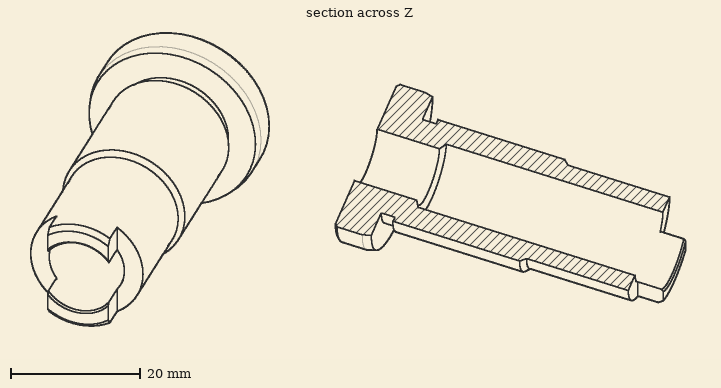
import math

import cadquery as cq

total_length = 51.0

flange_radius = 14.0
flange_length = 6.0
flange_back_chamfer = 0.5
flange_taper_length = 1.4
flange_taper_angle = 15.0
flange_taper_inset = flange_taper_length * math.tan(math.radians(flange_taper_angle))

shaft_radius = 10.0
nose_radius = 9.2
neck_length = 2.2
shaft_end = 30.0
shoulder_chamfer_length = 0.85
nose_chamfer = 0.8

through_radius = 5.0
bore_radius = 6.15
bore_chamfer = 0.3
bore_depth = 40.0
drill_point_angle = 118.0
cone_length = (bore_radius - through_radius) / math.tan(math.radians(drill_point_angle / 2))

tang_width = 9.9
tang_length = 4.2


def revolved(profile):
    """Turn (radius, distance from the flange back face) points about the Y axis."""
    points = [(radius, total_length - distance) for radius, distance in profile]
    return cq.Workplane("XY").polyline(points).close().revolve(360, (0, 0), (0, 1))


def shaft_body():
    neck_end = flange_length + neck_length
    return revolved([
        (0, 0),
        (flange_radius - flange_back_chamfer, 0),
        (flange_radius, flange_back_chamfer),
        (flange_radius, flange_length - flange_taper_length),
        (flange_radius - flange_taper_inset, flange_length),
        (nose_radius, flange_length),
        (nose_radius, neck_end),
        (shaft_radius, neck_end),
        (shaft_radius, shaft_end - shoulder_chamfer_length),
        (nose_radius, shaft_end),
        (nose_radius, total_length - nose_chamfer),
        (nose_radius - nose_chamfer, total_length),
        (0, total_length),
    ])


def bore():
    bore_bottom = total_length - bore_depth
    return revolved([
        (0, 0),
        (through_radius, 0),
        (through_radius, bore_bottom - cone_length),
        (bore_radius, bore_bottom),
        (bore_radius, total_length - bore_chamfer),
        (bore_radius + bore_chamfer, total_length),
        (0, total_length),
    ])


def tang_side_cut(side):
    """Block that clears the nose end beside the tangs, on the given X side (+1 or -1)."""
    block_center = side * (tang_width / 2 + shaft_radius / 2)
    return (
        cq.Workplane("XY")
        .box(shaft_radius, tang_length, 2 * shaft_radius)
        .translate((block_center, tang_length / 2, 0))
    )


result = shaft_body().cut(bore())
for side in (-1, 1):
    result = result.cut(tang_side_cut(side))